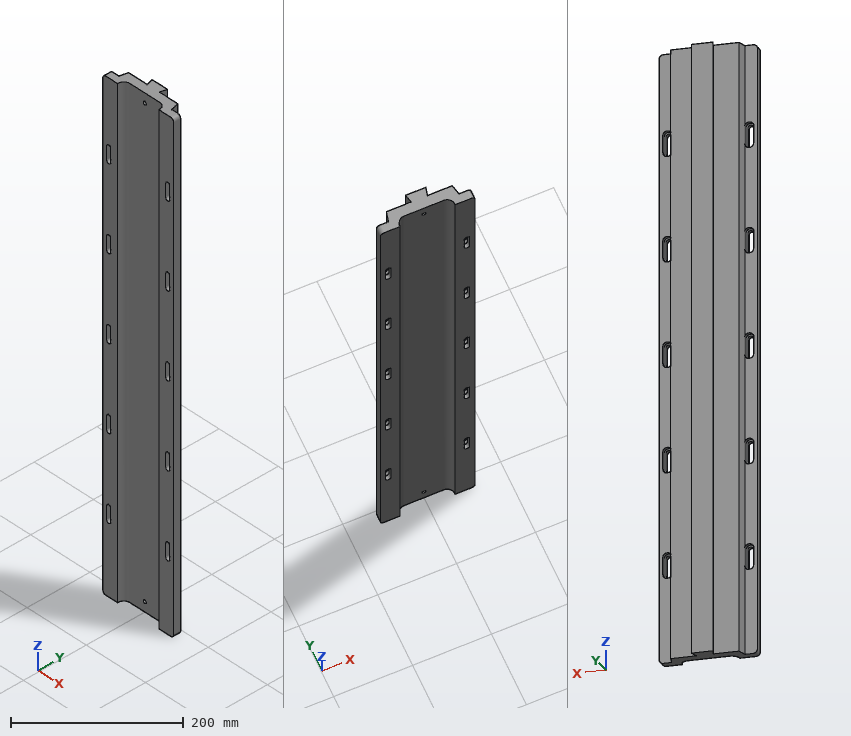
import cadquery as cq
import math

length = 750.0
width = 120.0
depth = 34.5

flange_thickness = 11.0
body_foot_width = 89.0
body_back_y = 24.0
body_side_angle = 13
body_side_run = (body_back_y - flange_thickness) * math.tan(math.radians(body_side_angle))
body_back_width = body_foot_width - 2 * body_side_run

rib_back_width = 26.0
rib_flare_angle = 15
rib_flare_run = (depth - body_back_y) * math.tan(math.radians(rib_flare_angle))
rib_root_width = rib_back_width - 2 * rib_flare_run

channel_mouth_width = 70.0
channel_depth = 10.5
channel_corner_radius = 10.0
channel_floor_width = channel_mouth_width - 2 * channel_corner_radius

flange_corner_radius = 5.0

slot_length = 27.0
slot_width = 7.0
slot_recess_width = 11.0
slot_recess_depth = 5.0
slot_column_spacing = 100.0
slot_count = 5
lowest_slot_z = 120.0
highest_slot_z = 640.0
slot_pitch = (highest_slot_z - lowest_slot_z) / (slot_count - 1)

pin_hole_diameter = 4.9
pin_hole_depth = 7.5
pin_hole_end_distance = 15.0


def make_body():
    """Extrude half of the rail section from the front face at Y = 0 and mirror it across X = 0."""
    half_body = (
        cq.Workplane("XY")
        .moveTo(0, channel_depth)
        .lineTo(channel_floor_width / 2, channel_depth)
        .radiusArc((channel_mouth_width / 2, channel_depth - channel_corner_radius), channel_corner_radius)
        .lineTo(channel_mouth_width / 2, 0)
        .lineTo(width / 2, 0)
        .lineTo(width / 2, flange_thickness)
        .lineTo(body_foot_width / 2, flange_thickness)
        .lineTo(body_back_width / 2, body_back_y)
        .lineTo(rib_root_width / 2, body_back_y)
        .lineTo(rib_back_width / 2, depth)
        .lineTo(0, depth)
        .close()
        .extrude(length)
    )
    return half_body.union(half_body.mirror("YZ"))


def upright_plane(y):
    """A plane at the given Y whose positive extrusions run forward, toward -Y."""
    return cq.Workplane("XZ", origin=(0, y, 0))


def make_slots():
    """Upright slots through both flanges, with a wider recess around the same end centres."""
    centers = [
        (side * slot_column_spacing / 2, lowest_slot_z + row * slot_pitch)
        for side in (-1, 1)
        for row in range(slot_count)
    ]
    recess_length = slot_length + slot_recess_width - slot_width
    recess_bottom_y = flange_thickness - slot_recess_depth
    slots = upright_plane(flange_thickness).pushPoints(centers).slot2D(slot_length, slot_width, 90)
    recesses = upright_plane(depth).pushPoints(centers).slot2D(recess_length, slot_recess_width, 90)
    return slots.extrude(flange_thickness).union(recesses.extrude(depth - recess_bottom_y))


def make_pin_holes():
    """Pin holes sunk into the channel floor."""
    centers = [(0, pin_hole_end_distance), (0, length - pin_hole_end_distance)]
    hole_bottom = upright_plane(channel_depth + pin_hole_depth)
    return hole_bottom.pushPoints(centers).circle(pin_hole_diameter / 2).extrude(pin_hole_depth)


result = make_body().edges("|Y and (<X or >X)").fillet(flange_corner_radius)
result = result.cut(make_slots()).cut(make_pin_holes())